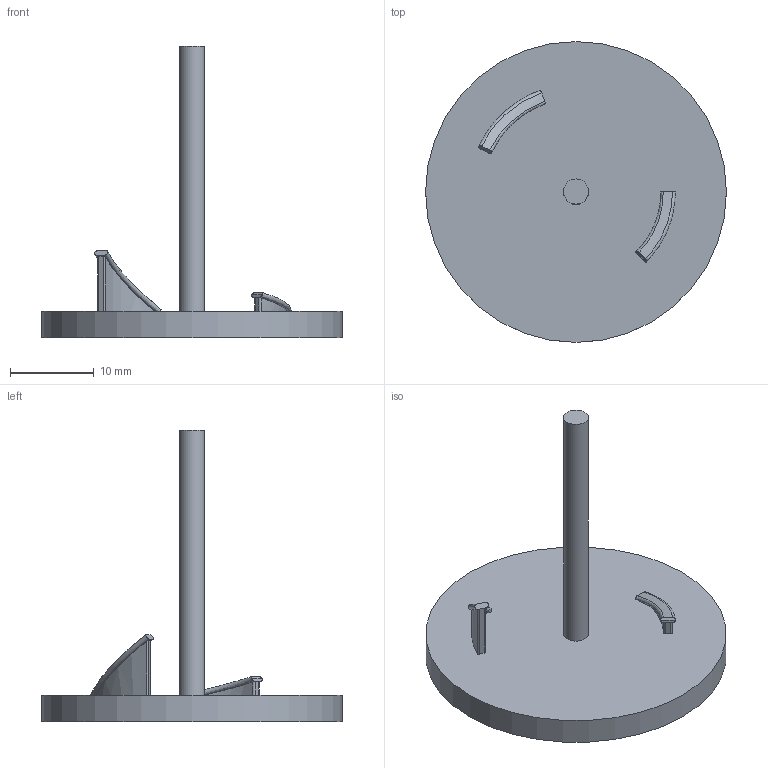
import cadquery as cq
import math

disc_diameter = 36.0
disc_thickness = 3.175
rod_diameter = 3.0
rod_length = 31.75

rail_width = 1.75
rail_thickness = 0.65

end_bevel_angle = 40.0

wall_thickness = 1.0
wall_corner_radius = 0.2
wall_top_drop = rail_thickness / 4

ramp_sweep = 45.0
outer_ramp_radius = 12.0
outer_ramp_start = 110.0
outer_ramp_rise = 7.0
inner_ramp_radius = 11.0
inner_ramp_start = 0.0
inner_ramp_rise = 2.0

wall_trim_overlap = 10.0


def make_helix(radius, rise, sweep):
    """Path that starts on the +X axis at disc-top level and climbs through the given angle."""
    pitch = rise * 360.0 / ramp_sweep
    height = rise * sweep / ramp_sweep
    foot = cq.Vector(0, 0, disc_thickness)
    return cq.Workplane(cq.Wire.makeHelix(pitch, height, radius, foot))


def climb(body, rise, angle):
    """Move a body along the helix by the given angle."""
    lifted = body.translate((0, 0, rise * angle / ramp_sweep))
    return lifted.rotate((0, 0, 0), (0, 0, 1), angle)


def make_rail(radius, rise):
    """Strip with rounded sides, swept along the helix with its ends square to the path."""
    arc_length = math.radians(ramp_sweep) * radius
    section_plane = cq.Plane(
        origin=(radius, 0, disc_thickness),
        xDir=(1, 0, 0),
        normal=(0, arc_length, rise),
    )
    section = cq.Workplane(section_plane).slot2D(rail_width, rail_thickness)
    return section.sweep(make_helix(radius, rise, ramp_sweep), isFrenet=True)


def make_wall(radius, rise):
    """Curved wall standing on the disc, sloped to end inside the rail, just under its mid-height."""
    full_height_wall = (
        cq.Workplane("XZ", origin=(radius, 0, disc_thickness))
        .center(0, rise / 2)
        .rect(wall_thickness, rise)
        .revolve(ramp_sweep, (-radius, 0), (-radius, 1))
        .edges("|Z")
        .edges("not <Y")
        .fillet(wall_corner_radius)
    )
    trim_sweep = ramp_sweep + 2 * wall_trim_overlap
    trim_height = rise * trim_sweep / ramp_sweep
    space_below_rail = (
        cq.Workplane("XZ", origin=(radius, 0, disc_thickness))
        .center(0, -trim_height / 2)
        .rect(rail_width, trim_height)
        .sweep(make_helix(radius, rise, trim_sweep), isFrenet=True)
    )
    space_below_rail = climb(space_below_rail, rise, -wall_trim_overlap)
    return full_height_wall.intersect(space_below_rail.translate((0, 0, -wall_top_drop)))


def make_ramp(radius, rise):
    """Wall and rail together, climbing counter-clockwise from the +X axis."""
    return make_wall(radius, rise).union(make_rail(radius, rise))


def bevel_raised_end(ramp, radius, rise):
    """Slope the top half of the rail's raised end back towards the foot of the ramp."""
    waste = (
        cq.Workplane("XY")
        .box(rail_width * 2, rail_width, rail_width, centered=(True, False, True))
        .rotate((0, 0, 0), (1, 0, 0), end_bevel_angle)
        .translate((radius, 0, disc_thickness))
    )
    return ramp.cut(climb(waste, rise, ramp_sweep))


disc = cq.Workplane("XY").circle(disc_diameter / 2).extrude(disc_thickness)
rod = cq.Workplane("XY").circle(rod_diameter / 2).extrude(disc_thickness + rod_length)

outer_ramp = make_ramp(outer_ramp_radius, outer_ramp_rise)
outer_ramp = outer_ramp.rotate((0, 0, 0), (0, 0, 1), outer_ramp_start)

inner_ramp = make_ramp(inner_ramp_radius, inner_ramp_rise)
inner_ramp = bevel_raised_end(inner_ramp, inner_ramp_radius, inner_ramp_rise).mirror("XZ")
inner_ramp = inner_ramp.rotate((0, 0, 0), (0, 0, 1), inner_ramp_start)

result = disc.union(rod).union(outer_ramp).union(inner_ramp)